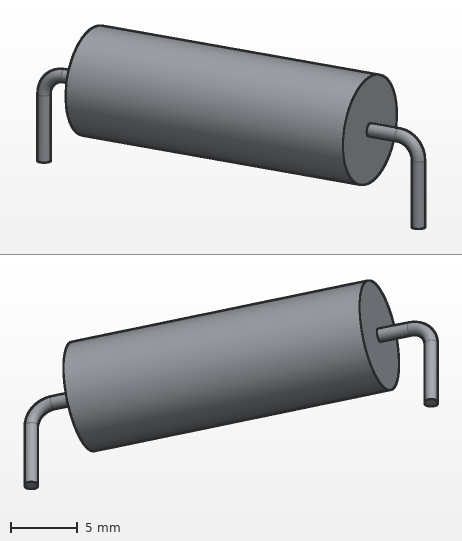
import cadquery as cq

overall_length = 33.02
overall_height = 11.2

housing_diameter = 8.4
housing_length = 23.7

lead_diameter = 1.02
bend_radius = 1.72

lead_x = (overall_length - lead_diameter) / 2
lead_bottom_z = housing_diameter / 2 - overall_height


def make_housing():
    """Plain cylinder centred on the origin."""
    return (
        cq.Workplane("YZ", origin=(-housing_length / 2, 0, 0))
        .circle(housing_diameter / 2)
        .extrude(housing_length)
    )


def make_lead(side):
    """Round wire leaving an end face and bending down; side is -1 or +1 along X."""
    start_x = side * housing_length / 2
    bend_start_x = side * (lead_x - bend_radius)
    path = (
        cq.Workplane("XZ")
        .moveTo(start_x, 0)
        .lineTo(bend_start_x, 0)
        .tangentArcPoint((side * lead_x, -bend_radius), relative=False)
        .lineTo(side * lead_x, lead_bottom_z)
    )
    return (
        cq.Workplane("YZ", origin=(start_x, 0, 0))
        .circle(lead_diameter / 2)
        .sweep(path)
    )


housing = make_housing()
leads = [make_lead(side) for side in (-1, 1)]

result = cq.Compound.makeCompound([housing.val(), *[lead.val() for lead in leads]])